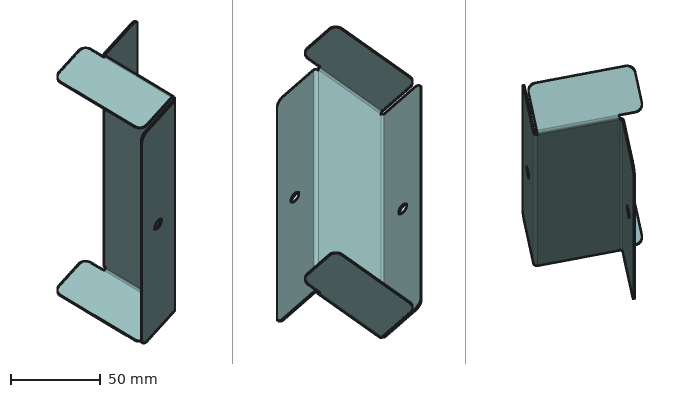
import cadquery as cq

total_width = 62.8
total_depth = 63.9
total_height = 204.0
thickness = 0.8
bend_radius = 2.0
corner_radius = 4.9

section_width = 51.0
hole_diameter = 7.0
hole_edge_distance = 14.9

flap_length = 60.8
flap_depth = 28.2

x_right = total_width / 2
x_left = x_right - section_width
web_front = -thickness / 2
web_back = thickness / 2
web_height = total_height - 2 * bend_radius
inner_radius = bend_radius - thickness
web_left = x_left + bend_radius
web_right = x_right - bend_radius
flap_left = -total_width / 2
bend_y = web_back - bend_radius


def box(x_min, x_max, y_min, y_max, z_min, z_max):
    """Box given by its limits along the three axes."""
    return (
        cq.Workplane("XY", origin=(x_min, y_min, z_min))
        .box(x_max - x_min, y_max - y_min, z_max - z_min, centered=False)
    )


def quarter_bend(plane, length):
    """Quarter tube about the plane origin, in its positive quadrant."""
    ring = cq.Workplane(plane).circle(bend_radius).circle(inner_radius).extrude(length)
    quadrant = (
        cq.Workplane(plane)
        .rect(bend_radius, bend_radius, centered=False)
        .extrude(length)
    )
    return ring.intersect(quadrant)


def right_flange():
    """Side flange on the right, bent forward, with rounded free corners and a hole."""
    half_height = web_height / 2
    plate = box(
        x_right - thickness, x_right, -total_depth / 2, bend_y, -half_height, half_height
    )
    plate = plate.edges("|X and <Y").fillet(corner_radius)
    hole = (
        cq.Workplane("YZ", origin=(x_right - thickness, hole_edge_distance - total_depth / 2, 0))
        .circle(hole_diameter / 2)
        .extrude(thickness)
    )
    bend_plane = cq.Plane(origin=(web_right, bend_y, -half_height))
    return plate.cut(hole).union(quarter_bend(bend_plane, web_height))


def left_flange():
    """The right flange turned half a revolution, so that it is bent backward."""
    section_centre_x = (x_left + x_right) / 2
    return right_flange().rotate((section_centre_x, 0, 0), (section_centre_x, 0, 1), 180)


def top_flap():
    """End flap bent forward; it overhangs the web on the left."""
    flap_right = flap_left + flap_length
    flap_front = bend_y - flap_depth
    half_height = total_height / 2
    plate = box(flap_left, flap_right, flap_front, bend_y, half_height - thickness, half_height)
    plate = plate.edges("|Z and (<X or <Y)").fillet(corner_radius)
    bend_plane = cq.Plane(
        origin=(web_left, bend_y, web_height / 2), xDir=(0, 1, 0), normal=(1, 0, 0)
    )
    return plate.union(quarter_bend(bend_plane, web_right - web_left))


web = box(web_left, web_right, web_front, web_back, -web_height / 2, web_height / 2)
upper_flap = top_flap()
lower_flap = upper_flap.mirror("XY")

result = web.union(right_flange()).union(left_flange()).union(upper_flap).union(lower_flap)